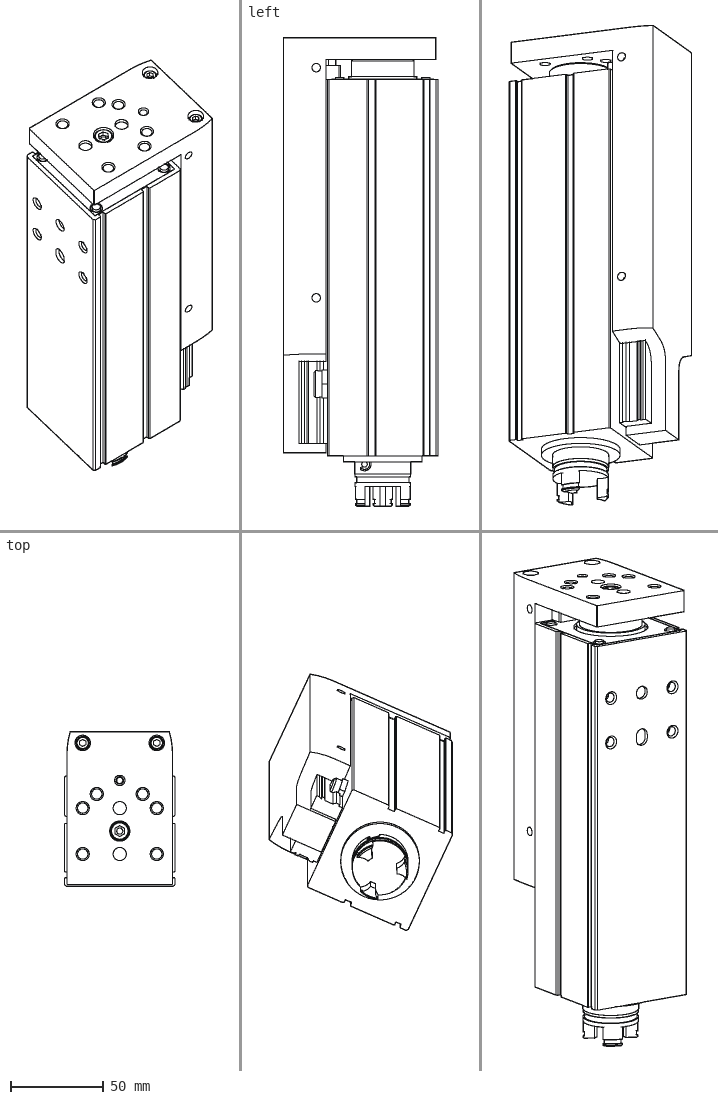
import cadquery as cq
import math


housing_half = 30.0
housing_bottom = 27.5
housing_top = 231.7
housing_height = housing_top - housing_bottom
front_chamfer = 1.0
rear_chamfer = 0.8
side_groove_depth = 2.0
side_groove_flare = 0.38
wide_groove_bevel = 0.8
narrow_groove = (-25.7, -21.9)
wide_groove = (3.8, 8.6)
cap_inset = 2.5
cap_height = 0.13
bolt_pitch = 46.8
bolt_diameter = 4.5
bolt_height = 1.0
bolt_hole_diameter = 6.5
bolt_hole_depth = 0.8
collar_diameter = 37.1
collar_height = 1.5
collar_groove_diameter = 40.2
collar_groove_depth = 1.3
end_flange_diameter = 42.7
end_flange_thickness = 3.3

pattern_x = 20.0
pattern_y = 12.5
thread_diameter = 5.0
thread_mouth = 7.0
thread_depth = 6.4
core_diameter = 3.3
core_depth = 9.0
drill_tip_angle = 118
dowel_diameter = 7.0
dowel_depth = 2.0
slot_length = 9.2
front_pattern_z = 189.0

rail_half = 17.8
rail_back = 45.5
rail_bottom = 34.0
rail_top = 239.3
track_floor = (35.5, 40.2)
track_mouth = (34.0, 41.2)
track_depth = 1.3
foot_inset = 1.0
foot_back = 32.0
upper_land_back = 42.5
bevel_back = 44.0
back_inset = 0.5
stop_front = 23.0
stop_chamfer = 0.8
nut_x = -15.5
nut_z = 66.4
nut_flats = 15.3
nut_back = 33.0
nut_cap_diameter = 14.7
nut_cap_back = 37.5
nut_cap_chamfer = 1.0

carriage_half = 28.7
plate_front = -29.0
plate_bottom = 242.3
plate_top = 254.3
plate_chamfer = 0.38
plate_thread_diameter = 5.5
back_front = 30.8
back_rear = 54.0
rounding_start = 41.0
rear_half = 27.0
carriage_end = 82.6
tongue_half = 9.5
tongue_bottom = 29.0
end_slope = math.radians(20)
end_fillet = 10.0
side_hole_diameter = 4.5
side_hole_y = 36.0
side_hole_depth = 7.6
side_hole_heights = (113.2, 238.0)
grub_y = 27.5
grub_diameter = 4.0
grub_mouth = 5.5
grub_depth = 7.6
grub_cone_diameter = 3.3
grub_cone_height = 1.0

rod_diameter = 34.0
rod_chamfer = 0.8
nose_diameter = 10.0
nose_hole = 11.0
nose_recess = 0.8
nose_chamfer = 0.5
nose_socket = 5.0
nose_socket_depth = 2.5
nose_core_diameter = 3.3
nose_core_depth = 5.0

socket_turn = 30

screw_y = 47.8
screw_head_diameter = 7.0
counterbore_diameter = 8.5
screw_head_height = 5.0
screw_head_chamfer = 0.5
screw_recess = 2.0
screw_shank_diameter = 5.0
screw_length = 20.3
screw_socket = 3.3
screw_socket_depth = 2.5

hub_diameter = 30.5
hub_lower_diameter = 30.3
hub_groove_diameter = 28.5
hub_step_z = 17.5
hub_groove = (13.0, 16.0)
hub_bottom = 10.7
claw_count = 3
claw_inner_radius = 9.2
claw_half_angle = math.radians(20.7)
claw_tip_half = 1.5
claw_hollow = 0.8
claw_groove = (1.5, 3.8)
claw_groove_depth = 0.64
claw_chamfer = 0.8
clamp_y = 10.0
clamp_z = 23.0
clamp_diameter = 7.0
clamp_depth = 5.8
clamp_head_diameter = 5.5
clamp_head_height = 1.0
clamp_socket_diameter = 3.3
clamp_socket_depth = 3.8


def box(x_range, y_range, z_range):
    """Block between the given limits."""
    size = [high - low for low, high in (x_range, y_range, z_range)]
    return cq.Workplane().box(*size, centered=False).translate((x_range[0], y_range[0], z_range[0]))


def cylinder(diameter, bottom, top, x=0, y=0):
    """Round bar along Z."""
    return cq.Workplane(origin=(x, y, bottom)).circle(diameter / 2).extrude(top - bottom)


def hex_socket(flats, depth, top, x=0, y=0):
    """Hexagonal recess that opens upward at the height top."""
    across_corners = flats / math.cos(math.pi / 6)
    recess = cq.Workplane(origin=(0, 0, top)).polygon(6, across_corners).extrude(-depth)
    return recess.rotate((0, 0, 0), (0, 0, 1), socket_turn).translate((x, y, 0))


def threaded_hole(plane):
    """Blind hole along the inward normal of the plane: 45 degree mouth, thread, then a narrower core."""
    mouth = thread_mouth / 2
    thread = thread_diameter / 2
    core = core_diameter / 2
    tip = core / math.tan(math.radians(drill_tip_angle / 2))
    profile = [
        (0, 0),
        (mouth, 0),
        (thread, thread - mouth),
        (thread, -thread_depth),
        (core, -thread_depth),
        (core, -core_depth),
        (0, -core_depth - tip),
    ]
    hole = cq.Workplane("XZ").polyline(profile).close().revolve(360, (0, 0), (0, 1))
    return cq.Workplane(hole.val().located(cq.Location(plane)))


def countersunk_hole(diameter, mouth_diameter, bottom, x, y):
    """Hole from the plate top down to the given height, with a 45 degree mouth."""
    mouth = mouth_diameter / 2
    radius = diameter / 2
    floor = bottom - plate_top
    profile = [(0, 0), (mouth, 0), (radius, radius - mouth), (radius, floor), (0, floor)]
    hole = cq.Workplane("XZ").polyline(profile).close().revolve(360, (0, 0), (0, 1))
    return hole.translate((x, y, plate_top))


def housing_blank():
    """Extruded profile with chamfered corners and two grooves along each side."""
    width = 2 * housing_half
    body = cq.Workplane(origin=(0, 0, housing_bottom)).rect(width, width).extrude(housing_height)
    body = body.edges("|Z and <Y").chamfer(front_chamfer)
    body = body.edges("|Z and >Y").chamfer(rear_chamfer)
    for side in (-1, 1):
        body = body.cut(side_groove(side, *narrow_groove, side_groove_flare))
        body = body.cut(side_groove(side, *wide_groove, wide_groove_bevel))
    return body


def side_groove(side, low, high, upper_flare):
    """Groove along Z in one housing side, with 45 degree flares at its two edges."""
    outer = side * housing_half
    floor = side * (housing_half - side_groove_depth)
    floor_low = low + side_groove_flare
    floor_high = high - upper_flare
    points = [
        (outer, low),
        (side * (housing_half - side_groove_flare), floor_low),
        (floor, floor_low),
        (floor, floor_high),
        (side * (housing_half - upper_flare), floor_high),
        (outer, high),
    ]
    return cq.Workplane(origin=(0, 0, housing_bottom)).polyline(points).close().extrude(housing_height)


def corner_discs(diameter, bottom, top):
    """Four round discs at the corner bolt positions of the housing top."""
    positions = cq.Workplane(origin=(0, 0, bottom)).rect(bolt_pitch, bolt_pitch, forConstruction=True)
    return positions.vertices().circle(diameter / 2).extrude(top - bottom)


def add_housing_ends(body):
    """Low cap with sunk corner bolts and a grooved rod collar on top, and a flange under the bottom."""
    cap_top = housing_top + cap_height
    width = 2 * (housing_half - cap_inset)
    body = body.union(cq.Workplane(origin=(0, 0, housing_top)).rect(width, width).extrude(cap_height))
    bolt_floor = housing_top - bolt_hole_depth
    body = body.cut(corner_discs(bolt_hole_diameter, bolt_floor, cap_top))
    body = body.union(corner_discs(bolt_diameter, bolt_floor, housing_top + bolt_height))
    groove_floor = housing_top - collar_groove_depth
    body = body.cut(cylinder(collar_groove_diameter, groove_floor, cap_top))
    body = body.union(cylinder(collar_diameter, groove_floor, housing_top + collar_height))
    flange_bottom = housing_bottom - end_flange_thickness
    return body.union(cylinder(end_flange_diameter, flange_bottom, housing_bottom))


def cut_front_pattern(body):
    """Four threaded holes, a dowel hole and a dowel slot in the front face."""
    for x in (-pattern_x, pattern_x):
        for z in (front_pattern_z - pattern_y, front_pattern_z + pattern_y):
            plane = cq.Plane((x, -housing_half, z), (1, 0, 0), (0, -1, 0))
            body = body.cut(threaded_hole(plane))
    face = cq.Workplane("XZ", origin=(0, -housing_half, front_pattern_z))
    dowel = face.center(0, pattern_y).circle(dowel_diameter / 2).extrude(-dowel_depth)
    slot = face.center(0, -pattern_y).slot2D(slot_length, dowel_diameter, 90).extrude(-dowel_depth)
    return body.cut(dowel).cut(slot)


def rail_outline():
    """Half outline of the rail: a foot, a lower land, a ball track, an upper land and a bevelled back."""
    track = rail_half - track_depth
    return [
        (0, housing_half),
        (rail_half - foot_inset, housing_half),
        (rail_half - foot_inset, foot_back),
        (rail_half, foot_back),
        (rail_half, track_mouth[0]),
        (track, track_floor[0]),
        (track, track_floor[1]),
        (rail_half, track_mouth[1]),
        (rail_half, upper_land_back),
        (track, upper_land_back),
        (rail_half - back_inset, bevel_back),
        (rail_half - back_inset, rail_back),
        (0, rail_back),
    ]


def guide_rail():
    """Rail with a ball track in each side and a stop block over the housing top."""
    half = cq.Workplane(origin=(0, 0, rail_bottom)).polyline(rail_outline()).close()
    half = half.extrude(rail_top - rail_bottom)
    rail = half.union(half.mirror("YZ"))
    stop = box((-rail_half, rail_half), (stop_front, back_front), (housing_top, rail_top))
    stop = stop.edges("|Z and <Y").chamfer(stop_chamfer)
    return rail.union(stop)


def rail_nut():
    """Hexagon nut with a round cap, standing on the back of the housing beside the rail."""
    back = cq.Workplane("XZ", origin=(nut_x, housing_half, nut_z))
    nut = back.polygon(6, nut_flats / math.cos(math.pi / 6)).extrude(housing_half - nut_back)
    cap = back.circle(nut_cap_diameter / 2).extrude(housing_half - nut_cap_back)
    return nut.union(cap.faces(">Y").chamfer(nut_cap_chamfer))


def make_housing():
    body = add_housing_ends(housing_blank()).union(guide_rail()).union(rail_nut())
    body = cut_front_pattern(body)
    return body.cut(cylinder(rod_diameter, housing_top, plate_bottom))


def carriage_outline():
    """Carriage seen along Z: straight front, sides rounding gently inward at the rear."""
    return (
        cq.Workplane(origin=(0, 0, tongue_bottom))
        .moveTo(-carriage_half, plate_front)
        .lineTo(carriage_half, plate_front)
        .lineTo(carriage_half, rounding_start)
        .tangentArcPoint((rear_half, back_rear), relative=False)
        .lineTo(-rear_half, back_rear)
        .threePointArc(rounding_mid_point(), (-carriage_half, rounding_start))
        .close()
    )


def rounding_mid_point():
    """Middle of the left rounding, an arc that starts tangent to the straight side."""
    run = back_rear - rounding_start
    radius = (run**2 + (carriage_half - rear_half) ** 2) / (2 * (carriage_half - rear_half))
    half_sweep = math.asin(run / radius) / 2
    x = -carriage_half + radius * (1 - math.cos(half_sweep))
    return (x, rounding_start + radius * math.sin(half_sweep))


def lower_side_cut(side):
    """Region beside the tongue, below the sloping lower end of the carriage back."""
    tangent_x = tongue_half + end_fillet * (1 - math.sin(end_slope))
    tangent_z = carriage_end - (carriage_half - tangent_x) * math.tan(end_slope)
    centre_z = tangent_z - end_fillet * math.cos(end_slope)
    mid_angle = (math.pi / 2 - end_slope) / 2
    mid_x = tongue_half + end_fillet * (1 - math.cos(mid_angle))
    mid_z = centre_z + end_fillet * math.sin(mid_angle)
    region = (
        cq.Workplane("XZ")
        .moveTo(side * carriage_half, tongue_bottom)
        .lineTo(side * carriage_half, carriage_end)
        .lineTo(side * tangent_x, tangent_z)
        .threePointArc((side * mid_x, mid_z), (side * tongue_half, centre_z))
        .lineTo(side * tongue_half, tongue_bottom)
        .close()
    )
    return region.extrude(-back_rear)


def carriage_blank():
    """L-shaped block with a channel for the rail and a tongue with a foot at the lower end."""
    body = carriage_outline().extrude(plate_top - tongue_bottom)
    body = body.edges("|Z and <Y").chamfer(plate_chamfer)
    sides = (-carriage_half, carriage_half)
    body = body.cut(box(sides, (plate_front, back_front), (tongue_bottom, plate_bottom)))
    for side in (-1, 1):
        body = body.cut(lower_side_cut(side))
    return body.cut(box((-rail_half, rail_half), (back_front, rail_back), (rail_bottom, plate_bottom)))


def cut_plate_pattern(body):
    """Threaded holes and dowel holes in the top of the plate, and the bore for the rod nose."""
    for side in (-1, 1):
        for x, y in ((pattern_x, -pattern_y), (pattern_x, pattern_y), (pattern_y, pattern_x)):
            hole = countersunk_hole(plate_thread_diameter, thread_mouth, plate_bottom, side * x, y)
            body = body.cut(hole)
        body = body.cut(cylinder(dowel_diameter, plate_top - dowel_depth, plate_top, 0, side * pattern_y))
    return body.cut(cylinder(nose_hole, plate_bottom, plate_top))


def add_grub_screw(body):
    """Stop pin under the plate, with a cone on top in its countersunk hole."""
    body = body.union(cylinder(grub_diameter, rail_top, plate_bottom, 0, grub_y))
    hole_bottom = plate_top - grub_depth
    body = body.cut(countersunk_hole(grub_diameter, grub_mouth, hole_bottom, 0, grub_y))
    cone = cq.Solid.makeCone(grub_cone_diameter / 2, 0, grub_cone_height, cq.Vector(0, grub_y, hole_bottom))
    return body.union(cq.Workplane(cone))


def cut_side_holes(body):
    """Two blind holes in each side of the back."""
    for side in (-1, 1):
        for z in side_hole_heights:
            start = cq.Workplane("YZ", origin=(side * carriage_half, side_hole_y, z))
            body = body.cut(start.circle(side_hole_diameter / 2).extrude(-side * side_hole_depth))
    return body


def screw_blank(x):
    """Solid head and shank of a corner screw."""
    head_top = plate_top - screw_recess
    head_bottom = head_top - screw_head_height
    head = cylinder(screw_head_diameter, head_bottom, head_top, x, screw_y)
    head = head.faces(">Z").chamfer(screw_head_chamfer)
    return head.union(cylinder(screw_shank_diameter, head_bottom - screw_length, head_bottom, x, screw_y))


def make_carriage():
    body = cut_side_holes(add_grub_screw(cut_plate_pattern(carriage_blank())))
    head_bottom = plate_top - screw_recess - screw_head_height
    for x in (-pattern_x, pattern_x):
        body = body.cut(cylinder(counterbore_diameter, head_bottom, plate_top, x, screw_y))
        body = body.cut(screw_blank(x))
    return body


def make_corner_screw(x):
    socket = hex_socket(screw_socket, screw_socket_depth, plate_top - screw_recess, x, screw_y)
    return screw_blank(x).cut(socket)


def make_rod():
    """Rod standing in the housing, with a socketed nose inside the plate."""
    nose_top = plate_top - nose_recess
    rod = cylinder(rod_diameter, housing_top, plate_bottom)
    rod = rod.faces(">Z").chamfer(rod_chamfer)
    nose = cylinder(nose_diameter, plate_bottom, nose_top).faces(">Z").chamfer(nose_chamfer)
    rod = rod.union(nose)
    rod = rod.cut(hex_socket(nose_socket, nose_socket_depth, nose_top))
    return rod.cut(cylinder(nose_core_diameter, nose_top - nose_core_depth, nose_top))


def coupling_claw(angle):
    """Claw that widens outward between hollow flanks, below the hub."""
    outer = hub_lower_diameter / 2
    corner = (outer * math.cos(claw_half_angle), outer * math.sin(claw_half_angle))
    tip = (math.sqrt(claw_inner_radius**2 - claw_tip_half**2), claw_tip_half)
    flank_x = corner[0] - tip[0]
    flank_y = corner[1] - tip[1]
    flank = math.hypot(flank_x, flank_y)
    hollow = (
        (corner[0] + tip[0]) / 2 + claw_hollow * flank_y / flank,
        (corner[1] + tip[1]) / 2 - claw_hollow * flank_x / flank,
    )
    claw = (
        cq.Workplane()
        .moveTo(tip[0], -tip[1])
        .threePointArc((hollow[0], -hollow[1]), (corner[0], -corner[1]))
        .threePointArc((outer, 0), corner)
        .threePointArc(hollow, tip)
        .threePointArc((claw_inner_radius, 0), (tip[0], -tip[1]))
        .close()
        .extrude(hub_bottom)
    )
    return claw.rotate((0, 0, 0), (0, 0, 1), angle)


def make_coupling():
    """Hub with a ring groove, three claws and a clamping screw hole."""
    hub_top = housing_bottom - end_flange_thickness
    body = cylinder(hub_diameter, hub_step_z, hub_top)
    body = body.union(cylinder(hub_lower_diameter, hub_bottom, hub_step_z))
    body = body.cut(ring_cut(hub_groove_diameter, *hub_groove))
    claws = coupling_claw(0)
    for index in range(1, claw_count):
        claws = claws.union(coupling_claw(index * 360 / claw_count))
    claws = claws.cut(ring_cut(hub_lower_diameter - 2 * claw_groove_depth, *claw_groove))
    claw_limit = cylinder(hub_lower_diameter, 0, hub_bottom).faces("<Z").chamfer(claw_chamfer)
    body = body.union(claws.intersect(claw_limit))
    clamp = cq.Workplane("YZ", origin=(-hub_diameter / 2, clamp_y, clamp_z))
    body = body.cut(clamp.circle(clamp_diameter / 2).extrude(clamp_depth).cut(clamp_head(clamp)))
    socket_end = clamp_depth - clamp_head_height + clamp_socket_depth
    return body.cut(clamp.polygon(6, clamp_socket_diameter).extrude(socket_end))


def clamp_head(start):
    """Clamping screw head that stands on the floor of its hole."""
    head = start.workplane(offset=clamp_depth - clamp_head_height).circle(clamp_head_diameter / 2)
    return head.extrude(clamp_head_height)


def ring_cut(inner_diameter, bottom, top):
    """Ring that turns the coupling down to the inner diameter."""
    return cylinder(2 * hub_diameter, bottom, top).cut(cylinder(inner_diameter, bottom, top))


housing = make_housing()
carriage = make_carriage()
rod = make_rod()
coupling = make_coupling()
corner_screws = [make_corner_screw(x).val() for x in (-pattern_x, pattern_x)]

result = cq.Compound.makeCompound(
    [housing.val(), carriage.val(), rod.val(), coupling.val(), *corner_screws]
)